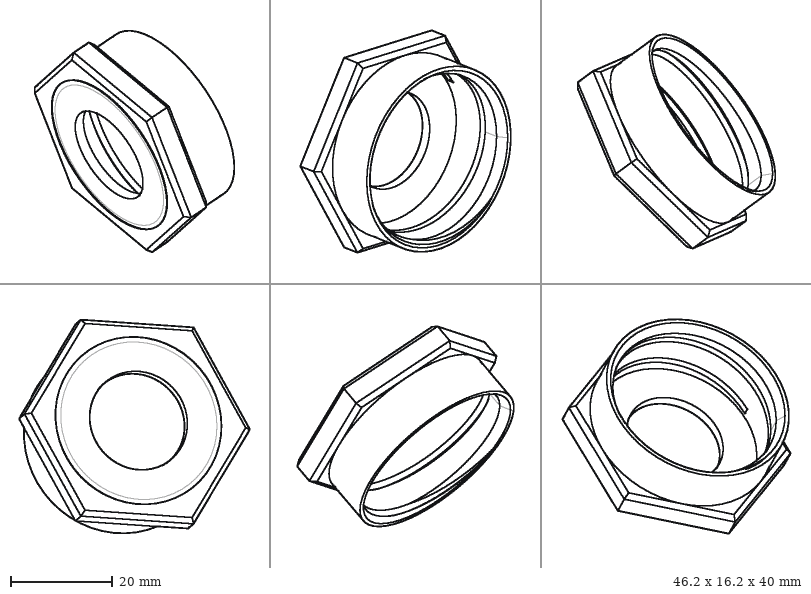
import cadquery as cq
import math

TOTAL_LENGTH = 16.17
BACK_Y = 16.0
FRONT_Y = BACK_Y - TOTAL_LENGTH

HEX_ACROSS_FLATS = 40.0
HEX_THICKNESS = 6.0
HEX_CHAMFER = 1.0

SLEEVE_RADIUS = 19.0

HOLE_RADIUS = 10.0
BORE_RADIUS = 17.0
BORE_START_Y = 2.0

LEAD_IN_LENGTH = 2.0
LEAD_IN_ANGLE = math.radians(30)
MOUTH_RADIUS = BORE_RADIUS + LEAD_IN_LENGTH * math.tan(LEAD_IN_ANGLE)

RING_OUTER_RADIUS = 17.0
RING_INNER_RADIUS = 16.0
ROLL_OFF_RADIUS = 3.0

GROOVE_PITCH = 7.0
GROOVE_WIDTH = 1.5
GROOVE_HALF_ANGLE = math.radians(30)
GROOVE_START_Y = BORE_START_Y + GROOVE_WIDTH
GROOVE_START_ANGLE = 147.0
GROOVE_OVERLAP = 0.1


def axial_cylinder(radius, y_start, y_end):
    """Solid cylinder along Y between two Y positions."""
    plane = cq.Workplane("XZ", origin=(0, y_start, 0))
    return plane.circle(radius).extrude(y_start - y_end)


def hex_head():
    """Hexagonal head with corners on the X axis, chamfered on both ends."""
    corner_diameter = HEX_ACROSS_FLATS / math.cos(math.pi / 6)
    plane = cq.Workplane("XZ", origin=(0, FRONT_Y, 0))
    prism = plane.polygon(6, corner_diameter).extrude(-HEX_THICKNESS)
    return prism.faces("<Y or >Y").chamfer(HEX_CHAMFER)


def front_ring():
    """Cutter for the rolled-off ring in the front face."""
    def point_on_arc(angle):
        radius = RING_INNER_RADIUS + ROLL_OFF_RADIUS * math.sin(angle)
        depth = ROLL_OFF_RADIUS * (1 - math.cos(angle))
        return radius, FRONT_Y + depth

    end_angle = math.asin((RING_OUTER_RADIUS - RING_INNER_RADIUS) / ROLL_OFF_RADIUS)
    return (
        cq.Workplane("XY")
        .moveTo(*point_on_arc(0))
        .threePointArc(point_on_arc(end_angle / 2), point_on_arc(end_angle))
        .lineTo(RING_OUTER_RADIUS, FRONT_Y)
        .close()
        .revolve(360, (0, 0, 0), (0, 1, 0))
    )


def stepped_bore():
    """Cutter for the front hole, the wide bore and its lead-in cone.

    Half a turn about Y puts its seam on -X, clear of the groove's runout.
    """
    return (
        cq.Workplane("XY")
        .moveTo(0, FRONT_Y)
        .lineTo(HOLE_RADIUS, FRONT_Y)
        .lineTo(HOLE_RADIUS, BORE_START_Y)
        .lineTo(BORE_RADIUS, BORE_START_Y)
        .lineTo(BORE_RADIUS, BACK_Y - LEAD_IN_LENGTH)
        .lineTo(MOUTH_RADIUS, BACK_Y)
        .lineTo(0, BACK_Y)
        .close()
        .revolve(360, (0, 0, 0), (0, 1, 0))
        .rotate((0, 0, 0), (0, 1, 0), 180)
    )


def helical_groove():
    """Cutter for the V groove, swept from the bore floor out past the back end."""
    half_width = GROOVE_WIDTH / 2
    depth = half_width / math.tan(GROOVE_HALF_ANGLE)
    root_half_width = half_width + GROOVE_OVERLAP * math.tan(GROOVE_HALF_ANGLE)
    helix_height = BACK_Y + GROOVE_WIDTH - GROOVE_START_Y
    path = cq.Wire.makeHelix(GROOVE_PITCH, helix_height, BORE_RADIUS)
    profile = (
        cq.Workplane("XZ")
        .moveTo(BORE_RADIUS - GROOVE_OVERLAP, -root_half_width)
        .lineTo(BORE_RADIUS + depth, 0)
        .lineTo(BORE_RADIUS - GROOVE_OVERLAP, root_half_width)
        .close()
    )
    groove = profile.sweep(cq.Workplane(obj=path), isFrenet=True)
    return (
        groove.rotate((0, 0, 0), (1, 0, 0), -90)
        .rotate((0, 0, 0), (0, 1, 0), -GROOVE_START_ANGLE)
        .translate((0, GROOVE_START_Y, 0))
    )


sleeve = axial_cylinder(SLEEVE_RADIUS, BORE_START_Y, BACK_Y)
body = hex_head().union(sleeve)
result = body.cut(front_ring()).cut(stepped_bore()).cut(helical_groove())